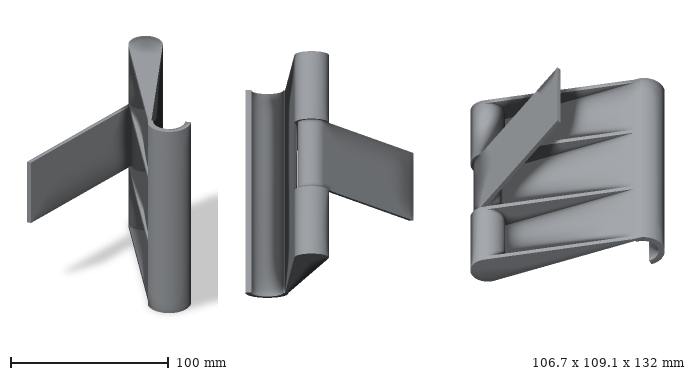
import cadquery as cq
import math

height = 132.0
section_height = height / 3

sleeve_radius = 11.0
pin_radius = 8.8
wall = sleeve_radius - pin_radius

front_y = -98.1
right_x = 68.4
flap_left_x = -38.3
flap_thickness = 2.6

hook_outer_radius = 14.0
hook_inner_radius = 11.2
liner_inner_radius = 10.2
flat_end_angle = 222
flat_start_past_hook = 1.0

rib_thickness = 2.6
rib_end = (41.5, -88.0)
tab_size = 6.9
tab_offset_x = 1.2
tab_end_distance = 18.4

hook_center = (right_x - hook_outer_radius, front_y + hook_outer_radius)


def polar(center, radius, angle):
    return (center[0] + radius * math.cos(angle), center[1] + radius * math.sin(angle))


def tangent_angle(point, distance, side):
    """Direction of the normal to a line through point, at distance from the pin axis."""
    spread = math.acos(distance / math.hypot(*point))
    return math.atan2(point[1], point[0]) + side * spread


sheet_angle = tangent_angle(hook_center, sleeve_radius + hook_inner_radius, 1)
hook_start_angle = sheet_angle + math.pi
hook_middle_angle = sheet_angle - math.pi / 2
sheet_length = hook_center[0] * math.sin(sheet_angle) - hook_center[1] * math.cos(sheet_angle)


def sheet_point(offset, along):
    """Point at offset from the pin axis across the sheet, and along it toward the hook."""
    x = offset * math.cos(sheet_angle) + along * math.sin(sheet_angle)
    y = offset * math.sin(sheet_angle) - along * math.cos(sheet_angle)
    return (x, y)


def cylinder(radius, bottom, length):
    return cq.Workplane("XY").workplane(offset=bottom).circle(radius).extrude(length)


def make_sheet_and_hook():
    flat_end = math.radians(flat_end_angle)
    outer_middle = (flat_end - 2 * math.pi + sheet_angle) / 2
    return (
        cq.Workplane("XY")
        .moveTo(*sheet_point(sleeve_radius, 0))
        .lineTo(*polar(hook_center, hook_inner_radius, hook_start_angle))
        .threePointArc(
            polar(hook_center, hook_inner_radius, hook_middle_angle),
            polar(hook_center, hook_inner_radius, sheet_angle),
        )
        .lineTo(*polar(hook_center, hook_outer_radius, sheet_angle))
        .threePointArc(
            polar(hook_center, hook_outer_radius, outer_middle),
            polar(hook_center, hook_outer_radius, flat_end),
        )
        .lineTo(*sheet_point(pin_radius, sheet_length + flat_start_past_hook))
        .lineTo(*sheet_point(pin_radius, 0))
        .close()
        .extrude(height)
    )


def make_rib(bottom):
    rib_angle = tangent_angle(rib_end, sleeve_radius, -1)
    sheet_middle = sleeve_radius - wall / 2
    outline = [
        (0, 0),
        polar((0, 0), sleeve_radius, rib_angle),
        rib_end,
        sheet_point(sheet_middle, sheet_length),
        sheet_point(sheet_middle, 0),
    ]
    return cq.Workplane("XY").workplane(offset=bottom).polyline(outline).close().extrude(rib_thickness)


def make_tabs():
    """Square pegs that fill the hook wall, flush with its outer surface."""
    tabs = (
        cq.Workplane("XZ", origin=(hook_center[0] + tab_offset_x, hook_center[1], 0))
        .pushPoints([(0, tab_end_distance), (0, height - tab_end_distance)])
        .rect(tab_size, tab_size)
        .extrude(hook_outer_radius)
    )
    hook_wall = (
        cq.Workplane("XY", origin=(*hook_center, 0))
        .circle(hook_outer_radius)
        .circle(hook_inner_radius)
        .extrude(height)
    )
    return tabs.intersect(hook_wall)


def make_frame():
    frame = make_sheet_and_hook().cut(cylinder(sleeve_radius, section_height, section_height))
    for section_bottom in (0, 2 * section_height):
        frame = frame.union(cylinder(sleeve_radius, section_bottom, section_height))
        for rib_bottom in (section_bottom, section_bottom + section_height - rib_thickness):
            frame = frame.union(make_rib(rib_bottom))
    return frame.cut(cylinder(pin_radius, 0, height)).cut(make_tabs())


def make_flap():
    """Full-length pin with a plate tangent to its left side."""
    flap_angle = tangent_angle((flap_left_x, front_y), pin_radius, -1)
    plate_width = flap_thickness / abs(math.cos(flap_angle))
    plate = (
        cq.Workplane("XY")
        .workplane(offset=section_height)
        .polyline([
            (flap_left_x, front_y),
            (flap_left_x + plate_width, front_y),
            polar((0, 0), pin_radius - flap_thickness, flap_angle),
            polar((0, 0), pin_radius, flap_angle),
        ])
        .close()
        .extrude(section_height)
    )
    return cylinder(pin_radius, 0, height).union(plate)


def make_liner():
    """Half-round lining of the hook, held by the two tabs."""
    lining = (
        cq.Workplane("XY")
        .moveTo(*polar(hook_center, hook_inner_radius, hook_start_angle))
        .threePointArc(
            polar(hook_center, hook_inner_radius, hook_middle_angle),
            polar(hook_center, hook_inner_radius, sheet_angle),
        )
        .lineTo(*polar(hook_center, liner_inner_radius, sheet_angle))
        .threePointArc(
            polar(hook_center, liner_inner_radius, hook_middle_angle),
            polar(hook_center, liner_inner_radius, hook_start_angle),
        )
        .close()
        .extrude(height)
    )
    return lining.union(make_tabs())


frame = make_frame()
flap = make_flap()
liner = make_liner()

bodies = [body.solids().val() for body in (frame, flap, liner)]
result = cq.Compound.makeCompound([*bodies])